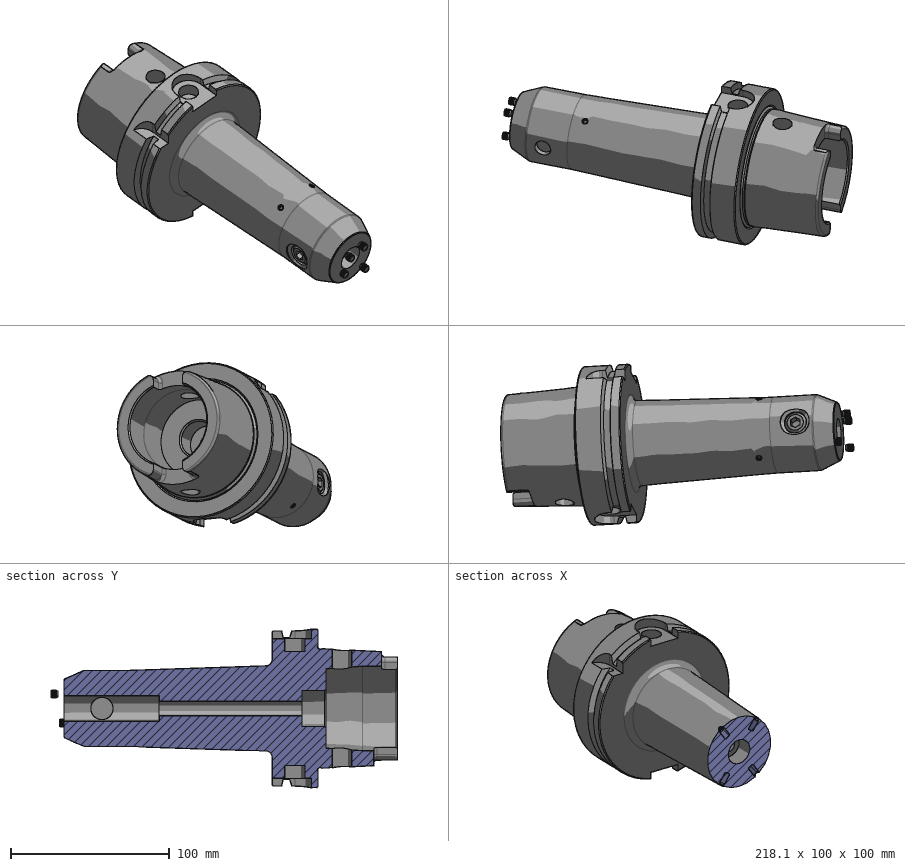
import cadquery as cq
import math


shank_length = 50.0
shank_large_radius = 37.8
shank_end_radius = 35.4
shank_end_rounding = 1.5
undercut_width = 2.5
undercut_depth = 0.3
undercut_ramp = 0.7
face_recess_depth = 0.5
face_recess_inner_radius = 38.8
face_recess_outer_radius = 39.7

flange_radius = 50.0
flange_length = 29.0
flange_chamfer = 0.7
groove_start = 16.6
groove_end = 22.9
groove_floor_start = 17.9
groove_floor_end = 22.0
groove_radius = 46.0

neck_fillet = 4.0
neck_radius = 26.9
body_taper_end = 120.0
body_radius = 24.0
nose_shoulder_x = 147.0
nose_shoulder_length = 0.8
nose_shoulder_drop = 0.2
nose_end = 160.0
nose_radius = 18.6
nose_edge_chamfer = 0.5

socket_radius = 26.5
socket_mouth_chamfer = 0.9
socket_straight_depth = 22.0
socket_depth = 45.0
socket_floor_radius = 24.9
coolant_thread_radius = 11.3
coolant_thread_chamfer = 1.0
coolant_thread_depth = 15.0
coolant_bore_radius = 4.5
tool_bore_radius = 8.0
tool_bore_depth = 60.0

keyway_width = 20.0
keyway_edge_radius = 3.5
keyway_corner_radius = 2.0
keyway_depth_top = 10.0
keyway_depth_bottom = 15.0
cross_hole_radius = 6.0
cross_hole_x = -15.0

pocket_center_x = 14.6
slot_radius = 10.4
slot_floor = 44.0
slot_hole_radius = 6.25
slot_hole_depth = 8.0
notch_radius = 9.5
notch_floor = 31.0
notch_wall = 31.9

clamp_x = 136.0
clamp_radius = 7.0
clamp_mouth_radius = 9.2
clamp_mouth_length = 1.0
clamp_cone_length = 1.5
clamp_head_y = -21.5
clamp_tip_y = -7.0
clamp_chamfer = 1.8
clamp_hex_flats = 6.0
clamp_hex_depth = 6.0
balance_hole_radius = 5.25
balance_hole_depth = 4.0

upper_angle = 55.0
around_angles = [upper_angle, 180 - upper_angle, 180 + upper_angle, 360 - upper_angle]
plug_x = 111.4
plug_radius = 1.8
plug_outer_end = 23.5
plug_length = 8.0
plug_cup_radius = 1.2
plug_cup_depth = 1.0
nozzle_circle_radius = 11.1
nozzle_radius = 2.4
nozzle_point_radius = 1.9
nozzle_point_length = 1.2
thread_pitch = 0.5
thread_depth = 0.25
nozzle_length = 4.6
nozzle_end_far = 168.11
nozzle_end_middle = 166.9
nozzle_end_seated = 162.6
nozzle_ends = [nozzle_end_middle, nozzle_end_far, nozzle_end_seated, nozzle_end_far]


def turn(outline):
    """Revolve a half section, drawn in the XZ plane, about the tool axis."""
    return outline.close().revolve(360, (0, 0, 0), (1, 0, 0))


def hexagon(plane, flats):
    """Hexagon given by its width across flats."""
    return plane.polygon(6, flats / math.cos(math.pi / 6))


def outer_shape():
    """Shank, flange, body and nose turned in one piece."""
    taper = (shank_large_radius - shank_end_radius) / shank_length
    undercut_start_radius = shank_large_radius - taper * undercut_width
    undercut_radius = undercut_start_radius - undercut_depth
    cone_radius = body_radius - nose_shoulder_drop
    outline = (
        cq.Workplane("XZ")
        .moveTo(-shank_length, 0)
        .lineTo(-shank_length, shank_end_radius - shank_end_rounding)
        .radiusArc((shank_end_rounding - shank_length, shank_end_radius), shank_end_rounding)
        .lineTo(-undercut_width, undercut_start_radius)
        .lineTo(undercut_ramp - undercut_width, undercut_radius)
        .lineTo(-undercut_ramp, undercut_radius)
        .lineTo(face_recess_depth, face_recess_inner_radius)
        .lineTo(0, face_recess_outer_radius)
        .lineTo(0, flange_radius - flange_chamfer)
        .lineTo(flange_chamfer, flange_radius)
        .lineTo(groove_start, flange_radius)
        .lineTo(groove_floor_start, groove_radius)
        .lineTo(groove_floor_end, groove_radius)
        .lineTo(groove_end, flange_radius)
        .lineTo(flange_length - flange_chamfer, flange_radius)
        .lineTo(flange_length, flange_radius - flange_chamfer)
        .lineTo(flange_length, neck_radius + neck_fillet)
        .radiusArc((flange_length + neck_fillet, neck_radius), -neck_fillet)
        .lineTo(body_taper_end, body_radius)
        .lineTo(nose_shoulder_x, body_radius)
        .lineTo(nose_shoulder_x + nose_shoulder_length, cone_radius)
        .lineTo(nose_end - nose_edge_chamfer, nose_radius)
        .lineTo(nose_end, nose_radius - nose_edge_chamfer)
        .lineTo(nose_end, 0)
    )
    return turn(outline)


def axial_bores():
    """Shank socket, coolant tube bore, through bore and tool bore as one cutter."""
    socket_floor = socket_depth - shank_length
    thread_floor = socket_floor + coolant_thread_depth
    tool_bore_floor = nose_end - tool_bore_depth
    outline = (
        cq.Workplane("XZ")
        .moveTo(-shank_length, 0)
        .lineTo(-shank_length, socket_radius + socket_mouth_chamfer)
        .lineTo(socket_mouth_chamfer - shank_length, socket_radius)
        .lineTo(socket_straight_depth - shank_length, socket_radius)
        .lineTo(socket_floor, socket_floor_radius)
        .lineTo(socket_floor, coolant_thread_radius + coolant_thread_chamfer)
        .lineTo(socket_floor + coolant_thread_chamfer, coolant_thread_radius)
        .lineTo(thread_floor, coolant_thread_radius)
        .lineTo(thread_floor, coolant_bore_radius)
        .lineTo(tool_bore_floor, coolant_bore_radius)
        .lineTo(tool_bore_floor, tool_bore_radius)
        .lineTo(nose_end, tool_bore_radius)
        .lineTo(nose_end, 0)
    )
    return turn(outline)


def drive_keyway(depth):
    """Keyway through the +Z flank of the shank, rounding out into the shank surface."""
    half = keyway_width / 2
    arc_center_distance = shank_end_radius - keyway_edge_radius
    wall_end_z = math.sqrt(arc_center_distance**2 - (half + keyway_edge_radius) ** 2)
    mouth_half = (half + keyway_edge_radius) * shank_end_radius / arc_center_distance
    mouth_z = wall_end_z * shank_end_radius / arc_center_distance
    cutter = (
        cq.Workplane("YZ", origin=(-shank_length, 0, 0))
        .moveTo(-half, 0)
        .lineTo(-half, wall_end_z)
        .radiusArc((-mouth_half, mouth_z), -keyway_edge_radius)
        .lineTo(-mouth_half, flange_radius)
        .lineTo(mouth_half, flange_radius)
        .lineTo(mouth_half, mouth_z)
        .radiusArc((half, wall_end_z), -keyway_edge_radius)
        .lineTo(half, 0)
        .close()
        .extrude(depth)
    )
    wall_tops = cq.selectors.BoxSelector(
        (-shank_length, -mouth_half, 0), (shank_length, mouth_half, mouth_z)
    )
    corners = cutter.faces(">X").edges(wall_tops).edges("not #Z")
    return corners.fillet(keyway_corner_radius)


def cross_hole():
    hole = cq.Workplane("XY", origin=(cross_hole_x, 0, -flange_radius)).circle(cross_hole_radius)
    return hole.extrude(2 * flange_radius)


def flange_pocket(floor_plane, radius, height):
    """Round-ended pocket that runs out through the nose side of the flange."""
    run = flange_length - pocket_center_x
    round_end = floor_plane.circle(radius).extrude(height)
    straight = floor_plane.center(run / 2, 0).rect(run, 2 * radius).extrude(height)
    return round_end.union(straight)


def gripper_slot():
    """Slot in the +Z side of the flange with a blind hole in its floor."""
    floor = cq.Workplane("XY", origin=(pocket_center_x, 0, slot_floor))
    hole = floor.circle(slot_hole_radius).extrude(-slot_hole_depth)
    return flange_pocket(floor, slot_radius, flange_radius - slot_floor).union(hole)


def orientation_notch():
    """Flat-floored notch in the -Y, +Z quarter of the flange."""
    floor = cq.Workplane("XY", origin=(pocket_center_x, -notch_wall - notch_radius, notch_floor))
    return flange_pocket(floor, notch_radius, flange_radius - notch_floor)


def clamp_hole():
    """Hole for the clamping screw, from a countersunk mouth at -Y into the tool bore."""
    cone_start = -body_radius + clamp_mouth_length
    outline = (
        cq.Workplane("XY", origin=(clamp_x, 0, 0))
        .lineTo(0, -body_radius)
        .lineTo(clamp_mouth_radius, -body_radius)
        .lineTo(clamp_mouth_radius, cone_start)
        .lineTo(clamp_radius, cone_start + clamp_cone_length)
        .lineTo(clamp_radius, 0)
        .close()
    )
    return outline.revolve(360, (0, 0, 0), (0, 1, 0))


def balance_hole():
    hole = cq.Workplane("XZ", origin=(clamp_x, body_radius, 0)).circle(balance_hole_radius)
    return hole.extrude(balance_hole_depth)


def radial_pin(angle, radius, outer_end, length):
    """Cylinder pointing inward from outer_end at the given angle about the tool axis."""
    pin = cq.Workplane("XZ", origin=(plug_x, outer_end, 0)).circle(radius).extrude(length)
    return pin.rotate((0, 0, 0), (1, 0, 0), angle)


def plug_hole(angle):
    depth = body_radius - plug_outer_end + plug_length
    clearance = neck_radius - body_radius
    return radial_pin(angle, plug_radius, neck_radius, depth + clearance)


def make_holder():
    holder = outer_shape().cut(axial_bores())
    holder = holder.cut(drive_keyway(keyway_depth_top))
    holder = holder.cut(drive_keyway(keyway_depth_bottom).mirror("XY"))
    holder = holder.cut(cross_hole())
    holder = holder.cut(gripper_slot())
    holder = holder.cut(gripper_slot().mirror("XY"))
    holder = holder.cut(orientation_notch())
    holder = holder.cut(clamp_hole())
    holder = holder.cut(balance_hole())
    for angle in around_angles:
        holder = holder.cut(plug_hole(angle))
    return holder


def make_clamp_screw():
    """Set screw with a chamfered head and a hexagon socket."""
    head = cq.Workplane("XZ", origin=(clamp_x, clamp_head_y, 0))
    screw = head.circle(clamp_radius).extrude(clamp_head_y - clamp_tip_y)
    screw = screw.faces("<Y").chamfer(clamp_chamfer)
    socket = hexagon(head.transformed(rotate=(0, 0, 90)), clamp_hex_flats)
    return screw.cut(socket.extrude(-clamp_hex_depth))


def make_plug(angle):
    """Radial plug with a small cup in its outer end."""
    plug = radial_pin(angle, plug_radius, plug_outer_end, plug_length)
    return plug.cut(radial_pin(angle, plug_cup_radius, plug_outer_end, plug_cup_depth))


def make_nozzle_screw(angle, end):
    """Screw along X with a slim point toward the shank and thread ridges as rings."""
    start = end - nozzle_length
    ridge_count = math.floor((nozzle_length - nozzle_point_length) / thread_pitch)
    root_radius = nozzle_radius - thread_depth
    outline = (
        cq.Workplane("XZ")
        .moveTo(start, 0)
        .lineTo(start, nozzle_point_radius)
        .lineTo(start + nozzle_point_length, root_radius)
    )
    for ridge in range(ridge_count):
        ridge_start = start + nozzle_point_length + ridge * thread_pitch
        outline = outline.lineTo(ridge_start + thread_pitch / 2, nozzle_radius)
        outline = outline.lineTo(ridge_start + thread_pitch, root_radius)
    screw = turn(outline.lineTo(end, root_radius).lineTo(end, 0))
    direction = math.radians(angle)
    offset_y = nozzle_circle_radius * math.cos(direction)
    offset_z = nozzle_circle_radius * math.sin(direction)
    return screw.translate((0, offset_y, offset_z))


holder = make_holder()
clamp_screw = make_clamp_screw()
plugs = [make_plug(angle) for angle in around_angles]

nozzles = [make_nozzle_screw(angle, end) for angle, end in zip(around_angles, nozzle_ends)]

for nozzle in nozzles:
    holder = holder.cut(nozzle)

result = cq.Compound.makeCompound(
    [
        holder.val(),
        clamp_screw.val(),
        *[plug.val() for plug in plugs],
        *[nozzle.val() for nozzle in nozzles],
    ]
)